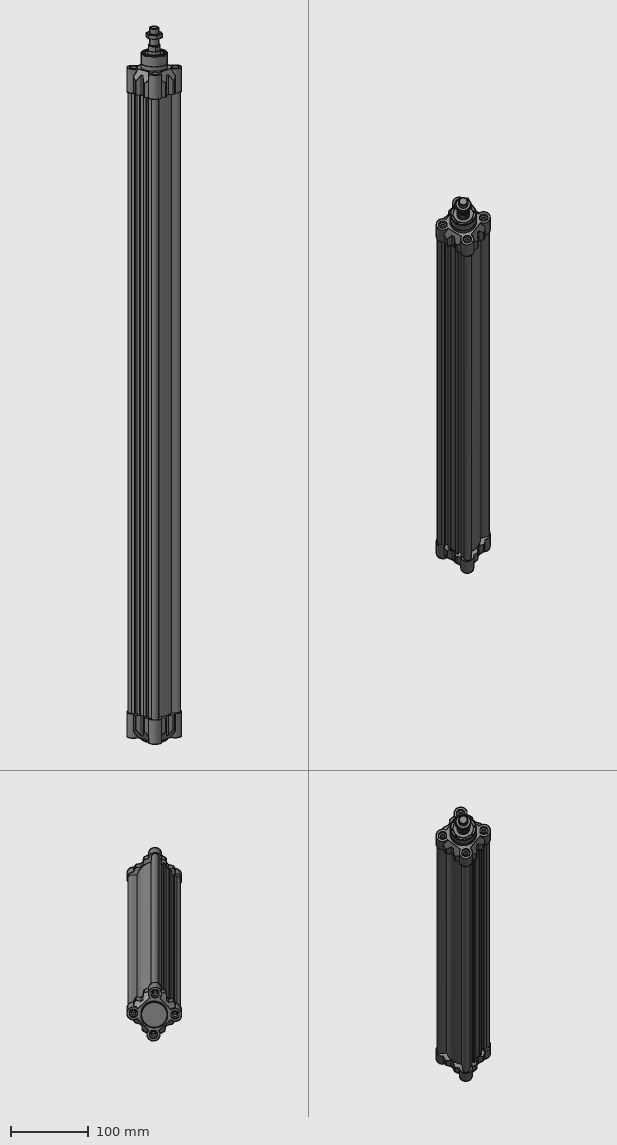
import cadquery as cq
import math

TOTAL_LENGTH = 963.0
REAR_BOSS_HEIGHT = 4.0
CAP_HEIGHT = 33.0
FRONT_CAP_TOP = 909.0
FRONT_CAP_BOTTOM = FRONT_CAP_TOP - CAP_HEIGHT
REAR_CAP_TOP = REAR_BOSS_HEIGHT + CAP_HEIGHT

CAP_WIDTH = 55.0
CAP_HALF = CAP_WIDTH / 2
POST_RADIUS = 8.5
POST_OFFSET = CAP_HALF - POST_RADIUS
GROOVE_MOUTH_HALF = 6.3
GROOVE_DEPTH = 4.3
GROOVE_FLOOR_HALF = GROOVE_MOUTH_HALF - GROOVE_DEPTH
RIB_EDGE = 8.5
VALLEY_OFFSET = 13.5
VALLEY_DEPTH = 2.3
RAMP_HEIGHT = 13.5
RAMP_DEPTH = 8.0
SCREW_HEAD_DIAMETER = 11.0
SCREW_HEAD_DEPTH = 5.0
SCREW_HOLE_DIAMETER = 6.0
SCREW_HOLE_DEPTH = 14.0

BOSS_DIAMETER = 35.0
BOSS_CHAMFER = 1.0
FRONT_BOSS_HEIGHT = 6.0
COLLAR_DIAMETER = 34.0
COLLAR_HEIGHT = 14.0
COLLAR_CHAMFER = 1.0
COLLAR_TOP = FRONT_CAP_TOP + FRONT_BOSS_HEIGHT + COLLAR_HEIGHT
WIPER_DIAMETER = 26.0
WIPER_DEPTH = 2.0
NOTCH_COUNT = 8
NOTCH_WIDTH = 2.0
NOTCH_DEPTH = 2.0

TUBE_LENGTH = FRONT_CAP_BOTTOM - REAR_CAP_TOP
BORE_DIAMETER = 40.0
TUBE_OUTER_DIAMETER = 45.0
TUBE_WIDTH = 51.0
LOBE_RADIUS = 5.0
LOBE_OFFSET = TUBE_WIDTH / 2 - LOBE_RADIUS
LOBE_REACH = LOBE_RADIUS / math.sqrt(2)
LOBE_NEAR = LOBE_OFFSET - LOBE_REACH
LOBE_FAR = LOBE_OFFSET + LOBE_REACH
RAIL_INNER = 4.0
RAIL_OUTER = LOBE_NEAR
RAIL_HALF = LOBE_FAR
SLOT_SPACING = 20.0
SLOT_MOUTH = 5.0
SLOT_CHAMBER = 8.0
SLOT_LIP = 2.0
SLOT_FLOOR = 19.0
SLOT_SHOULDER = 21.0

ROD_DIAMETER = 16.0
ROD_END_DIAMETER = 15.0
THREAD_RADIUS = 6.0
THREAD_DIAMETER = 2 * THREAD_RADIUS
THREAD_LENGTH = 23.0
ROD_CHAMFER = 1.0
ROD_SHOULDER = TOTAL_LENGTH - THREAD_LENGTH
FLATS_WIDTH = 13.0
FLATS_TOP = 938.0
FLATS_LENGTH = 6.0

NUT_ACROSS_FLATS = 19.0
NUT_HEIGHT = 6.0
NUT_BOTTOM = 949.5
NUT_CHAMFER_HEIGHT = 1.0
NUT_CHAMFER_WIDTH = 2.0

CORNERS = [(sx, sy) for sx in (-1, 1) for sy in (-1, 1)]


def cylinder(diameter, bottom, height, center=(0, 0)):
    """Upright cylinder standing on the height `bottom`."""
    return cq.Workplane("XY", origin=(*center, bottom)).circle(diameter / 2).extrude(height)


def turned(points, angle):
    """Rotate outline points about the origin by an angle in degrees."""
    c = math.cos(math.radians(angle))
    s = math.sin(math.radians(angle))
    return [(x * c - y * s, x * s + y * c) for x, y in points]


def cap_side_points():
    """One side of the cap core: valley, rib, central groove, rib, valley."""
    half = [
        (VALLEY_OFFSET, VALLEY_DEPTH),
        (RIB_EDGE, 0),
        (GROOVE_MOUTH_HALF, 0),
        (GROOVE_FLOOR_HALF, GROOVE_DEPTH),
    ]
    right = [(x, depth - CAP_HALF) for x, depth in half]
    left = [(-x, y) for x, y in right]
    return left + right[::-1]


def cap_ramp():
    """Wedge cut from the middle of the -Y side, deepest at the outer (upper) end of the cap."""
    profile = [
        (-CAP_HALF, CAP_HEIGHT - RAMP_HEIGHT),
        (-CAP_HALF + RAMP_DEPTH, CAP_HEIGHT),
        (-CAP_HALF, CAP_HEIGHT),
    ]
    return cq.Workplane("YZ").polyline(profile).close().extrude(POST_OFFSET, both=True)


def cap_block():
    """Cap body standing on Z = 0 with its inner face down and its outer face up."""
    outline = []
    for quarter in range(4):
        outline += turned(cap_side_points(), 90 * quarter)
        outline += turned([(POST_OFFSET, -POST_OFFSET)], 90 * quarter)
    block = cq.Workplane("XY").polyline(outline).close().extrude(CAP_HEIGHT)
    for quarter in range(4):
        block = block.cut(cap_ramp().rotate((0, 0, 0), (0, 0, 1), 90 * quarter))
    for sx, sy in CORNERS:
        center = (sx * POST_OFFSET, sy * POST_OFFSET)
        block = block.union(cylinder(2 * POST_RADIUS, 0, CAP_HEIGHT, center))
    for sx, sy in CORNERS:
        center = (sx * POST_OFFSET, sy * POST_OFFSET)
        head_floor = CAP_HEIGHT - SCREW_HEAD_DEPTH
        block = block.cut(cylinder(SCREW_HEAD_DIAMETER, head_floor, SCREW_HEAD_DEPTH, center))
        hole_floor = head_floor - SCREW_HOLE_DEPTH
        block = block.cut(cylinder(SCREW_HOLE_DIAMETER, hole_floor, SCREW_HOLE_DEPTH, center))
    return block


def make_front_cap():
    """Front cap with its boss, notched bearing collar and through bore for the rod."""
    cap = cap_block().translate((0, 0, FRONT_CAP_BOTTOM))
    cap = cap.union(cylinder(BOSS_DIAMETER, FRONT_CAP_TOP, FRONT_BOSS_HEIGHT))
    collar = cylinder(COLLAR_DIAMETER, COLLAR_TOP - COLLAR_HEIGHT, COLLAR_HEIGHT)
    cap = cap.union(collar.faces(">Z").chamfer(COLLAR_CHAMFER))
    cap = cap.cut(cylinder(WIPER_DIAMETER, COLLAR_TOP - WIPER_DEPTH, WIPER_DEPTH))
    for index in range(NOTCH_COUNT // 2):
        notch = cq.Workplane("XY", origin=(0, 0, COLLAR_TOP - NOTCH_DEPTH))
        notch = notch.rect(COLLAR_DIAMETER, NOTCH_WIDTH).extrude(NOTCH_DEPTH)
        cap = cap.cut(notch.rotate((0, 0, 0), (0, 0, 1), index * 360 / NOTCH_COUNT))
    return cap.cut(cylinder(ROD_DIAMETER, FRONT_CAP_BOTTOM, COLLAR_TOP - FRONT_CAP_BOTTOM))


def make_rear_cap():
    """Rear cap, outer face down, with a chamfered centring boss."""
    cap = cap_block().rotate((0, 0, 0), (1, 0, 0), 180).translate((0, 0, REAR_CAP_TOP))
    boss = cylinder(BOSS_DIAMETER, 0, REAR_BOSS_HEIGHT).faces("<Z").chamfer(BOSS_CHAMFER)
    return cap.union(boss)


def tube_prism(points):
    """Closed outline extruded over the length of the tube."""
    return cq.Workplane("XY", origin=(0, 0, REAR_CAP_TOP)).polyline(points).close().extrude(TUBE_LENGTH)


def corner_lobe(sx, sy):
    """Round corner bead joined to the tube by a web with 45 degree sides."""
    center = (sx * LOBE_OFFSET, sy * LOBE_OFFSET)
    bead = cylinder(2 * LOBE_RADIUS, REAR_CAP_TOP, TUBE_LENGTH, center)
    root = LOBE_FAR - LOBE_NEAR
    web = [(LOBE_NEAR, LOBE_FAR), (LOBE_FAR, LOBE_NEAR), (root, 0), (0, root)]
    web = tube_prism([(sx * x, sy * y) for x, y in web])
    return bead.union(web)


def slot_cut(sx, sy):
    """Undercut sensor slot with a narrow mouth and a pointed floor."""
    mouth = SLOT_MOUTH / 2
    chamber = SLOT_CHAMBER / 2
    lip = RAIL_HALF - SLOT_LIP
    half = [(mouth, RAIL_HALF), (mouth, lip), (chamber, lip), (chamber, SLOT_SHOULDER)]
    outline = half + [(0, SLOT_FLOOR)] + [(-x, y) for x, y in half[::-1]]
    return tube_prism([(sx * (SLOT_SPACING / 2 + x), sy * y) for x, y in outline])


def make_tube():
    """Tube with four corner lobes and two slotted rails on each of the -Y and +Y sides."""
    tube = cylinder(TUBE_OUTER_DIAMETER, REAR_CAP_TOP, TUBE_LENGTH)
    for sx, sy in CORNERS:
        tube = tube.union(corner_lobe(sx, sy))
        rail = [
            (RAIL_INNER, RAIL_HALF),
            (RAIL_OUTER, RAIL_HALF),
            (RAIL_OUTER, RAIL_OUTER),
            (RAIL_INNER, SLOT_FLOOR),
        ]
        tube = tube.union(tube_prism([(sx * x, sy * y) for x, y in rail]))
    for sx, sy in CORNERS:
        tube = tube.cut(slot_cut(sx, sy))
    return tube.cut(cylinder(BORE_DIAMETER, REAR_CAP_TOP, TUBE_LENGTH))


def make_rod():
    """Piston rod stepping down to a flatted end section and then to the thread."""
    flats_bottom = FLATS_TOP - FLATS_LENGTH
    rod = cylinder(ROD_DIAMETER, FRONT_CAP_BOTTOM, flats_bottom - FRONT_CAP_BOTTOM)
    end = cylinder(ROD_END_DIAMETER, flats_bottom, ROD_SHOULDER - flats_bottom)
    rod = rod.union(end.faces(">Z").chamfer(ROD_CHAMFER))
    thread = cylinder(THREAD_DIAMETER, ROD_SHOULDER, THREAD_LENGTH)
    rod = rod.union(thread.faces(">Z").chamfer(ROD_CHAMFER))
    for side in (-1, 1):
        center_x = side * (FLATS_WIDTH + ROD_DIAMETER) / 2
        waste = cq.Workplane("XY", origin=(center_x, 0, flats_bottom))
        rod = rod.cut(waste.rect(ROD_DIAMETER, ROD_DIAMETER).extrude(FLATS_LENGTH))
    return rod


def make_nut():
    """Hexagonal lock nut with flats facing -X and +X and its corners chamfered at both ends."""
    across_corners = NUT_ACROSS_FLATS / math.cos(math.pi / 6)
    nut = cq.Workplane("XY", origin=(0, 0, NUT_BOTTOM)).polygon(6, across_corners).extrude(NUT_HEIGHT)
    nut = nut.rotate((0, 0, 0), (0, 0, 1), 90)
    envelope = cylinder(across_corners, NUT_BOTTOM, NUT_HEIGHT).faces("<Z or >Z")
    nut = nut.intersect(envelope.chamfer(NUT_CHAMFER_HEIGHT, NUT_CHAMFER_WIDTH))
    return nut.cut(cylinder(THREAD_DIAMETER, NUT_BOTTOM, NUT_HEIGHT))


bodies = [make_front_cap(), make_rear_cap(), make_tube(), make_rod(), make_nut()]

result = cq.Compound.makeCompound([body.solids().val() for body in bodies])